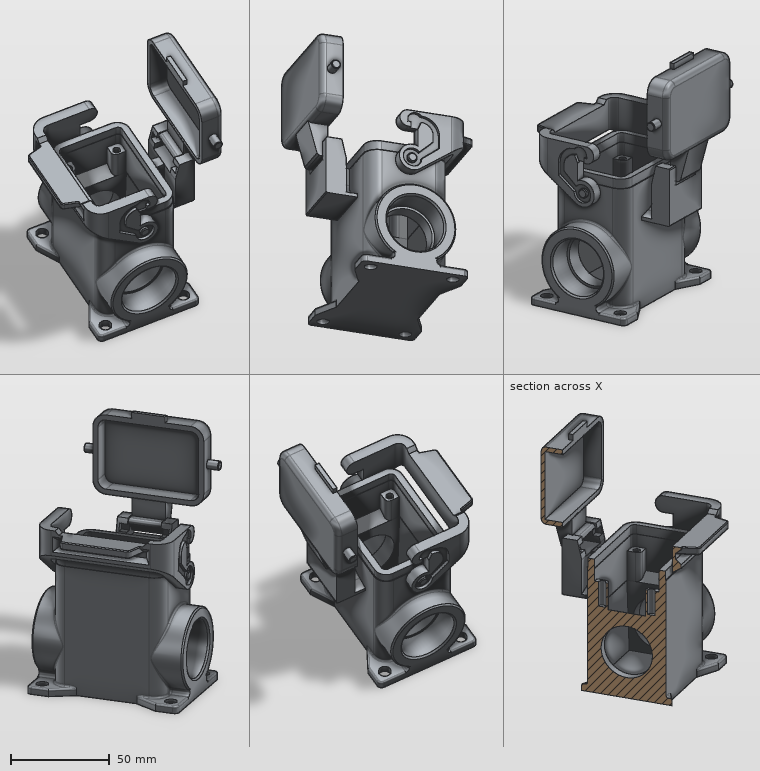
import cadquery as cq
import math

body_width = 60.7
body_depth = 43.5
body_height = 73.7
body_corner = 7.4
rim_height = 5.1
rim_inset = 0.47
root_fillet = 1.1

cavity_width = 52.5
cavity_depth = 35.4
cavity_corner = 2.4
cavity_step = 0.2
shaft_width = 38.6
floor_width = 35.1
floor_depth = 31.4
floor_level = 8.0
shelf_inner_level = 45.5
shelf_outer_level = 49.6

post_top = 61.6
post_length = cavity_width / 2 - shaft_width / 2
post_depth = 7.5
post_corner = 2.7
post_hole_x = 22.1
post_hole_y = 13.5
post_hole_diameter = 3.8
post_hole_depth = 13.4

boss_reach = 41.0
boss_radius = 21.7
boss_level = 25.5
boss_edge = 0.8
bore_radius = 15.3
bore_depth = 14.2
bore_edge = 1.0
entry_radius = 14.0
neck_radius = 1.9

foot_thickness = 4.0
foot_half_depth = 28.5
foot_outer_end_x = 29.1
foot_inner_x = 16.5
foot_inner_y = 22.0
foot_corner = 2.5
foot_edge = 1.0
screw_x = 35.0
screw_y = 22.1
screw_diameter = 6.3

lever_half_width = 36.2
lever_inner_half_width = body_width / 2
lever_front = -30.0
lever_front_wall = 5.0
lever_top = 90.2
lever_corner = 9.1
lever_inner_corner = 3.8
lever_front_bottom = 76.6
pivot_level = 64.3
pivot_radius = 7.1
pivot_pin_radius = 2.5
pivot_pin_chamfer = 0.5
hook_radius = 4.5
hook_y = 2.3
hook_back = -3.0
lever_recess_depth = 1.7
lever_recess_radius = 5.0
track_y = -4.7
track_level = 78.0
track_outer_radius = 9.8
track_inner_radius = 6.3
track_outer_bend = 71.5
track_inner_bend = 74.4
track_waist_y = -4.0
track_waist_level = 68.0
track_mouth_y = 1.0
track_mouth_bottom = 80.4
track_mouth_top = 83.9
track_tip_y = 2.5
track_tip_level = 85.1

handle_tip = -38.7
handle_top = 88.0
handle_bottom = 83.9
handle_root_half_width = 22.8
handle_tip_half_width = 18.8
handle_corner = 2.0
handle_edge = 0.5
pocket_half_width = 26.3
pocket_bottom = 78.7
pocket_top = 86.8
pocket_depth = 3.0
pocket_taper_angle = 40.0

lid_width = 60.3
lid_back = 47.2
lid_front = 35.1
lid_bottom = 88.0
lid_top = 130.8
lid_corner = 7.2
lid_wall = 2.8
lid_floor = 2.3
lid_back_fillet = 3.0
overall_height = 134.0
tab_half_width = 9.1
tab_thickness = 2.4
lid_pin_y = 41.3
lid_pin_level = 109.3
lid_pin_radius = 2.4
lid_pin_half_length = 36.6
lid_pin_chamfer = 0.4

hinge_half_width = 14.9
hinge_back = 38.7
hinge_front = 27.9
hinge_top = 78.8
hinge_top_front = 30.3
hinge_bottom = 47.7
hinge_plate = 1.9
hinge_chamfer = 0.5
hinge_slope_bottom = 68.6
hinge_slot_bottom = 68.3
neck_half_width = 3.0
neck_knee_level = 59.4
neck_flare_sag = 0.3
neck_flare_half_width = 9.0
neck_flare_level = 51.3
arm_front = 35.6
arm_bottom = 70.6
arm_setback = 0.3
arm_tip_back = 41.5
arm_tip_chamfer = 1.1
knuckle_y = 32.4
knuckle_radius = 1.6
cheek_pocket_width = 4.3
cheek_pocket_height = 4.0
cheek_pocket_depth = 2.0
cheek_pocket_level = 71.7


def box(x_range, y_range, z_range):
    """Axis-aligned box between the given limits."""
    size = [high - low for low, high in (x_range, y_range, z_range)]
    return (
        cq.Workplane("XY")
        .box(*size, centered=False)
        .translate((x_range[0], y_range[0], z_range[0]))
    )


def rounded_block(width, depth, bottom, top, corner):
    """Upright block centred on Z with rounded vertical edges."""
    block = cq.Workplane("XY").workplane(offset=bottom).rect(width, depth).extrude(top - bottom)
    return block.edges("|Z").fillet(corner)


def along_x(half_length, y, z, radius):
    """Cylinder parallel to X, symmetric about X = 0."""
    return cq.Workplane("YZ").center(y, z).circle(radius).extrude(half_length, both=True)


def with_mirror(shape):
    """The shape joined with its mirror image on the other X side."""
    return shape.union(shape.mirror("YZ"))


def make_outer_body():
    rim_start = body_height - rim_height
    lower = rounded_block(body_width, body_depth, 0, rim_start, body_corner)
    rim = rounded_block(
        body_width - 2 * rim_inset,
        body_depth - 2 * rim_inset,
        rim_start,
        body_height,
        body_corner - rim_inset,
    )
    return lower.union(rim)


def make_foot():
    """Mounting foot under the -X boss, with two screw holes."""
    outline = [
        (-boss_reach, -foot_half_depth),
        (-foot_outer_end_x, -foot_half_depth),
        (-foot_inner_x, -foot_inner_y),
        (-foot_inner_x, foot_inner_y),
        (-foot_outer_end_x, foot_half_depth),
        (-boss_reach, foot_half_depth),
    ]
    foot = cq.Workplane("XY").polyline(outline).close().extrude(foot_thickness)
    foot = foot.edges("|Z and <X").fillet(foot_corner)
    foot = foot.faces(">Z").edges("not(<X or >X)").fillet(foot_edge)
    holes = (
        cq.Workplane("XY")
        .pushPoints([(-screw_x, screw_y), (-screw_x, -screw_y)])
        .circle(screw_diameter / 2)
        .extrude(foot_thickness)
    )
    return foot.cut(holes)


def make_boss():
    """Cable entry boss on -X with the necked web that joins it to the foot."""
    start = cq.Workplane("YZ").workplane(offset=-boss_reach)
    boss = start.center(0, boss_level).circle(boss_radius).extrude(boss_reach - foot_inner_x)
    boss = boss.faces("<X").edges().chamfer(boss_edge)

    round_level = foot_thickness + neck_radius
    drop = boss_level - round_level
    reach = boss_radius + neck_radius
    round_y = math.sqrt(reach**2 - drop**2)
    web_top = round_level + neck_radius * drop / reach
    web = box((-boss_reach, -foot_inner_x), (-round_y, round_y), (0, web_top))
    rounds = (
        start.pushPoints([(-round_y, round_level), (round_y, round_level)])
        .circle(neck_radius)
        .extrude(boss_reach - foot_inner_x)
    )
    return boss.union(web.cut(rounds))


def make_cavity():
    rim_start = body_height - rim_height
    rim = rounded_block(cavity_width, cavity_depth, rim_start, body_height, cavity_corner)
    upper = rounded_block(
        cavity_width - 2 * cavity_step,
        cavity_depth - 2 * cavity_step,
        shelf_inner_level,
        rim_start,
        cavity_corner,
    )
    shelf = (
        cq.Workplane("XZ")
        .polyline(
            [
                (-cavity_width / 2, shelf_outer_level),
                (-shaft_width / 2, shelf_inner_level),
                (-cavity_width / 2, shelf_inner_level),
            ]
        )
        .close()
        .extrude(cavity_depth / 2, both=True)
    )
    shaft = (
        cq.Workplane("XY")
        .workplane(offset=floor_level)
        .rect(floor_width, floor_depth)
        .workplane(offset=shelf_inner_level - floor_level)
        .rect(shaft_width, cavity_depth)
        .loft()
    )
    return upper.cut(with_mirror(shelf)).union(shaft).union(rim)


def make_posts():
    """Four screw posts in the cavity corners, and the holes to cut into them."""
    blocks = cq.Workplane("XY")
    holes = cq.Workplane("XY")
    for side_x in (-1, 1):
        for side_y in (-1, 1):
            block = (
                cq.Workplane("XY")
                .workplane(offset=shelf_inner_level)
                .center(
                    side_x * (cavity_width - post_length) / 2,
                    side_y * (cavity_depth - post_depth) / 2,
                )
                .rect(post_length, post_depth)
                .extrude(post_top - shelf_inner_level)
            )
            inner_x = "<X" if side_x > 0 else ">X"
            inner_y = "<Y" if side_y > 0 else ">Y"
            inner_edge = f"|Z and {inner_x} and {inner_y}"
            blocks = blocks.union(block.edges(inner_edge).fillet(post_corner))
            hole = (
                cq.Workplane("XY")
                .workplane(offset=post_top - post_hole_depth)
                .center(side_x * post_hole_x, side_y * post_hole_y)
                .circle(post_hole_diameter / 2)
                .extrude(post_hole_depth)
            )
            holes = holes.union(hole)
    return blocks, holes


def make_bore():
    """Stepped cable bore through the -X boss into the shaft."""
    start = cq.Workplane("YZ").workplane(offset=-boss_reach).center(0, boss_level)
    bore = start.circle(bore_radius).extrude(bore_depth)
    entry = start.circle(entry_radius).extrude(boss_reach)
    mouth = start.circle(bore_radius + bore_edge).extrude(bore_edge, taper=45)
    return bore.union(entry).union(mouth)


def make_housing():
    half = make_outer_body().union(make_foot()).union(make_boss())
    boss_root_top = (-body_width / 2, 0, boss_level + boss_radius)
    half = half.edges(cq.selectors.NearestToPointSelector(boss_root_top)).fillet(root_fillet)
    housing = with_mirror(half)
    posts, post_holes = make_posts()
    housing = housing.cut(make_cavity()).union(posts).cut(post_holes)
    return housing.cut(with_mirror(make_bore()))


def make_lever_profile():
    """Side outline of the lever, extruded over its whole width."""
    rise = lever_front_bottom - pivot_level
    distance = math.hypot(lever_front, rise)
    tangent_angle = math.atan2(rise, lever_front) + math.acos(pivot_radius / distance)
    tangent_y = pivot_radius * math.cos(tangent_angle)
    tangent_z = pivot_level + pivot_radius * math.sin(tangent_angle)

    eye_z = pivot_level + math.sqrt(pivot_radius**2 - hook_back**2)
    hook_bottom = lever_top - 2 * hook_radius
    outline = (
        cq.Workplane("YZ")
        .moveTo(lever_front, lever_top)
        .lineTo(hook_y, lever_top)
        .threePointArc((hook_y + hook_radius, lever_top - hook_radius), (hook_y, hook_bottom))
        .lineTo(hook_back, hook_bottom)
        .lineTo(hook_back, eye_z)
        .threePointArc((pivot_radius, pivot_level), (tangent_y, tangent_z))
        .lineTo(lever_front, lever_front_bottom)
        .close()
    )
    return outline.extrude(lever_half_width, both=True)


def make_lever_u():
    """U-shaped plan of the lever, open towards +Y."""
    open_end = body_depth / 2
    heights = (pivot_level - 2 * pivot_radius, lever_top + pivot_radius)
    outer = box((-lever_half_width, lever_half_width), (lever_front, open_end), heights)
    outer = outer.edges("|Z and <Y").fillet(lever_corner)
    inner = box(
        (-lever_inner_half_width, lever_inner_half_width),
        (lever_front + lever_front_wall, open_end),
        heights,
    )
    return outer.cut(inner.edges("|Z and <Y").fillet(lever_inner_corner))


def make_lever_recess():
    """Shallow track in the -X outer face: from the hook mouth round and down to the pivot."""
    start = cq.Workplane("YZ").workplane(offset=-lever_half_width)
    diagonal = math.sqrt(0.5)
    outer_arc_middle = (
        track_y - track_outer_radius * diagonal,
        track_level + track_outer_radius * diagonal,
    )
    inner_arc_middle = (
        track_y - track_inner_radius * diagonal,
        track_level + track_inner_radius * diagonal,
    )
    track = (
        start.moveTo(track_mouth_y, track_mouth_bottom)
        .lineTo(track_mouth_y, track_mouth_top)
        .lineTo(track_tip_y, track_mouth_top)
        .lineTo(track_tip_y, track_tip_level)
        .tangentArcPoint((track_y, track_level + track_outer_radius), relative=False)
        .threePointArc(outer_arc_middle, (track_y - track_outer_radius, track_level))
        .lineTo(track_y - track_outer_radius, track_outer_bend)
        .lineTo(-lever_recess_radius, pivot_level)
        .lineTo(0, pivot_level)
        .lineTo(track_waist_y, track_waist_level)
        .lineTo(track_y - track_inner_radius, track_inner_bend)
        .lineTo(track_y - track_inner_radius, track_level)
        .threePointArc(inner_arc_middle, (track_y, track_level + track_inner_radius))
        .lineTo(hook_back, track_mouth_bottom)
        .close()
        .extrude(lever_recess_depth)
    )
    eye = start.center(0, pivot_level).circle(lever_recess_radius).extrude(lever_recess_depth)
    pin = start.center(0, pivot_level).circle(pivot_pin_radius).extrude(lever_recess_depth)
    pin = pin.faces("<X").edges().chamfer(pivot_pin_chamfer)
    return track.union(eye).cut(pin)


def make_handle():
    """Grip plate, flush with the inner face of the lever's front wall."""
    root = lever_front + lever_front_wall
    plate = (
        cq.Workplane("XY")
        .workplane(offset=handle_bottom)
        .polyline(
            [
                (-handle_root_half_width, root),
                (handle_root_half_width, root),
                (handle_tip_half_width, handle_tip),
                (-handle_tip_half_width, handle_tip),
            ]
        )
        .close()
        .extrude(handle_top - handle_bottom)
    )
    plate = plate.edges("|Z and <Y").fillet(handle_corner)
    return plate.faces(">Z or <Z").edges("not >Y").chamfer(handle_edge)


def make_handle_pocket():
    """Pocket with sloping walls in the front wall, under the handle."""
    return (
        cq.Workplane("XZ", origin=(0, lever_front, 0))
        .center(0, (pocket_bottom + pocket_top) / 2)
        .rect(2 * pocket_half_width, pocket_top - pocket_bottom)
        .extrude(-pocket_depth, taper=pocket_taper_angle)
    )


def make_lever():
    lever = make_lever_profile().intersect(make_lever_u())
    slope = lever_top - handle_top
    above_handle = (
        cq.Workplane("XZ", origin=(0, lever_front, 0))
        .polyline(
            [
                (-handle_root_half_width, handle_top),
                (handle_root_half_width, handle_top),
                (handle_root_half_width + slope, lever_top),
                (-handle_root_half_width - slope, lever_top),
            ]
        )
        .close()
        .extrude(-lever_front_wall)
    )
    lever = lever.cut(above_handle).cut(make_handle_pocket())
    return lever.union(make_handle()).cut(with_mirror(make_lever_recess()))


def make_lid():
    def lid_plan(inset, front, back):
        block = box(
            (-lid_width / 2 + inset, lid_width / 2 - inset),
            (front, back),
            (lid_bottom + inset, lid_top - inset),
        )
        return block.edges("|Y").fillet(lid_corner - inset)

    shell = lid_plan(0, lid_front, lid_back).faces(">Y").edges().fillet(lid_back_fillet)
    shell = shell.cut(lid_plan(lid_wall, lid_front, lid_back - lid_floor))
    tab = box(
        (-tab_half_width, tab_half_width),
        (lid_front, lid_front + tab_thickness),
        (lid_top - lid_wall, overall_height),
    )
    pins = along_x(lid_pin_half_length, lid_pin_y, lid_pin_level, lid_pin_radius)
    pins = pins.faces("<X or >X").edges().chamfer(lid_pin_chamfer)
    inside = box(
        (lid_wall - lid_width / 2, lid_width / 2 - lid_wall),
        (lid_front, lid_back),
        (lid_bottom, lid_top),
    )
    return shell.union(tab).union(pins.cut(inside))


def make_arm():
    """Tapering lid arm and the knuckle that sits between the hinge cheeks."""
    arm_top = lid_bottom + lid_wall
    arm = (
        cq.Workplane("YZ")
        .polyline(
            [
                (lid_back - lid_floor, arm_top),
                (lid_back - arm_setback, arm_top),
                (arm_tip_back, arm_bottom + arm_tip_chamfer),
                (arm_tip_back - arm_tip_chamfer, arm_bottom),
                (arm_front, arm_bottom),
                (arm_front, lid_bottom),
            ]
        )
        .close()
        .extrude(tab_half_width, both=True)
    )
    knuckle_top = hinge_top - hinge_chamfer
    knuckle = (
        cq.Workplane("YZ")
        .polyline(
            [
                (knuckle_y, knuckle_top),
                (knuckle_y, knuckle_top - 2 * knuckle_radius),
                (arm_front, arm_bottom),
                (arm_front, knuckle_top),
            ]
        )
        .close()
        .extrude(tab_half_width, both=True)
    )
    bar = along_x(tab_half_width, knuckle_y, knuckle_top - knuckle_radius, knuckle_radius)
    return arm.union(knuckle).union(bar)


def make_hinge():
    block = (
        cq.Workplane("YZ")
        .polyline(
            [
                (hinge_back, hinge_bottom),
                (hinge_back, hinge_top),
                (hinge_top_front, hinge_top),
                (hinge_front, hinge_slope_bottom),
                (hinge_front, hinge_bottom),
            ]
        )
        .close()
        .extrude(hinge_half_width, both=True)
    )
    block = block.faces(">Y").edges("|X").chamfer(hinge_chamfer)
    slot = box(
        (-tab_half_width, tab_half_width), (hinge_front, hinge_back), (hinge_slot_bottom, hinge_top)
    )
    pocket_start = tab_half_width
    cheek_pocket = box(
        (pocket_start, pocket_start + cheek_pocket_width),
        (hinge_front, hinge_top_front + cheek_pocket_depth),
        (cheek_pocket_level, cheek_pocket_level + cheek_pocket_height),
    )
    block = block.cut(slot).cut(with_mirror(cheek_pocket))

    plate_top = hinge_bottom + hinge_plate
    flare_mid = (
        neck_half_width + neck_flare_sag * (neck_flare_half_width - neck_half_width),
        neck_flare_level + neck_flare_sag * (neck_knee_level - neck_flare_level),
    )
    body_back = body_depth / 2
    neck = (
        cq.Workplane("XZ", origin=(0, body_back, 0))
        .moveTo(0, hinge_bottom)
        .lineTo(hinge_half_width, hinge_bottom)
        .lineTo(hinge_half_width, plate_top)
        .lineTo(neck_flare_half_width, neck_flare_level)
        .threePointArc(flare_mid, (neck_half_width, neck_knee_level))
        .lineTo(neck_half_width, hinge_slope_bottom)
        .lineTo(0, hinge_slope_bottom)
        .close()
        .extrude(body_back - hinge_front)
    )
    return block.union(with_mirror(neck))


result = make_housing().union(make_lever()).union(make_hinge())
result = result.union(make_lid().union(make_arm())).clean()